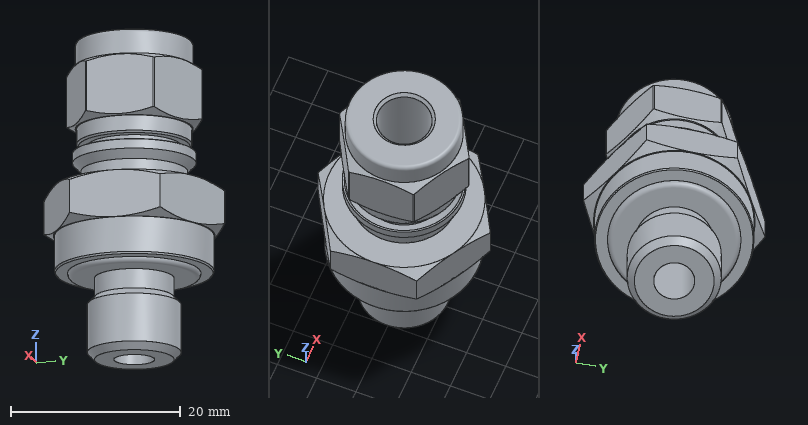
import cadquery as cq
import math

LENGTH = 38.55

BORE_DIA = 4.8
SOCKET_DIA = 6.55
SOCKET_DEPTH = 15.4
SOCKET_CHAMFER = 0.4

THREAD_DIA = 11.1
RELIEF_DIA = 9.4
THREAD_CHAMFER = (THREAD_DIA - RELIEF_DIA) / 2
THREAD_TOP = 7.5

SEAL_BOTTOM_DIA = 14.45
SEAL_DIA = 15.72
SEAL_BOTTOM = 9.85
BODY_DIA = 18.8
BODY_BOTTOM = 10.52
BODY_CHAMFER_HEIGHT = 0.25
BODY_CHAMFER = 0.1

BODY_HEX_FLATS = 19.05
BODY_HEX_BOTTOM = 15.03
BODY_HEX_TOP = 20.75
HEX_CHAMFER_ANGLE = 30.0
HEX_HALF_ANGLE = 30.0

STEM_DIA = 12.6
STEM_CHAMFER = 0.27
RING_DIA = 14.6
RING_TOP = 25.0
RING_CONE_TOP = 23.85
RING_CONE_BOTTOM = RING_CONE_TOP - (RING_DIA - STEM_DIA) / 2
RING_LIP = 0.25
NECK_DIA = 11.1
NECK_BOTTOM = 24.35
GROOVE_DIA = 10.1

NUT_SKIRT_DIA = 13.6
NUT_SKIRT_BOTTOM = 25.95
NUT_SKIRT_CHAMFER = 0.25
NUT_HEX_FLATS = 14.35
NUT_CORNER_DIA = 16.45
NUT_HEX_BOTTOM = 28.0
NUT_HEX_TOP = 35.55
NUT_COLLAR_DIA = 13.9
NUT_COLLAR_ROUND = 0.5


def cylinder(diameter, bottom, top):
    """Cylinder about the Z axis between two heights."""
    return cq.Workplane("XY").workplane(offset=bottom).circle(diameter / 2).extrude(top - bottom)


def chamfered_hex(flats, face_dia, corner_dia, bottom, top):
    """Hexagon with corners on the Y axis and conical chamfers at both ends."""
    face_radius = face_dia / 2
    corner_radius = corner_dia / 2
    drop = (corner_radius - face_radius) * math.tan(math.radians(HEX_CHAMFER_ANGLE))
    envelope = (
        cq.Workplane("XZ")
        .polyline([
            (0, bottom),
            (face_radius, bottom),
            (corner_radius, bottom + drop),
            (corner_radius, top - drop),
            (face_radius, top),
            (0, top),
        ])
        .close()
        .revolve(360, (0, 0), (0, 1))
    )
    prism = (
        cq.Workplane("XY")
        .workplane(offset=bottom)
        .polygon(6, flats / math.cos(math.radians(HEX_HALF_ANGLE)))
        .extrude(top - bottom)
        .rotate((0, 0, 0), (0, 0, 1), HEX_HALF_ANGLE)
    )
    return prism.intersect(envelope)


def threaded_end():
    thread = cylinder(THREAD_DIA, 0, THREAD_TOP).edges().chamfer(THREAD_CHAMFER)
    return thread.union(cylinder(RELIEF_DIA, 0, SEAL_BOTTOM))


def body():
    collar = (
        cylinder(BODY_DIA, BODY_BOTTOM, BODY_HEX_BOTTOM)
        .faces("<Z").edges().chamfer(BODY_CHAMFER_HEIGHT, BODY_CHAMFER)
    )
    seal_face = (
        cylinder(SEAL_DIA, SEAL_BOTTOM, BODY_BOTTOM)
        .faces("<Z").edges().fillet((SEAL_DIA - SEAL_BOTTOM_DIA) / 2)
    )
    corner_dia = BODY_HEX_FLATS / math.cos(math.radians(HEX_HALF_ANGLE))
    hexagon = chamfered_hex(
        BODY_HEX_FLATS, BODY_HEX_FLATS, corner_dia, BODY_HEX_BOTTOM, BODY_HEX_TOP
    )
    return collar.union(seal_face).union(hexagon)


def stem():
    """Stem with a cupped ring whose inside cone runs down to a narrow groove."""
    stem_radius = STEM_DIA / 2
    ring_radius = RING_DIA / 2
    neck_radius = NECK_DIA / 2
    groove_radius = GROOVE_DIA / 2
    lip_radius = ring_radius - RING_LIP
    groove_bottom = RING_TOP - (lip_radius - groove_radius)
    return (
        cq.Workplane("XZ")
        .polyline([
            (0, BODY_HEX_TOP),
            (stem_radius - STEM_CHAMFER, BODY_HEX_TOP),
            (stem_radius, BODY_HEX_TOP + STEM_CHAMFER),
            (stem_radius, RING_CONE_BOTTOM),
            (ring_radius, RING_CONE_TOP),
            (ring_radius, RING_TOP),
            (lip_radius, RING_TOP),
            (groove_radius, groove_bottom),
            (groove_radius, NECK_BOTTOM),
            (neck_radius, NECK_BOTTOM),
            (neck_radius, NUT_SKIRT_BOTTOM),
            (0, NUT_SKIRT_BOTTOM),
        ])
        .close()
        .revolve(360, (0, 0), (0, 1))
    )


def nut():
    skirt = (
        cylinder(NUT_SKIRT_DIA, NUT_SKIRT_BOTTOM, NUT_HEX_BOTTOM)
        .faces("<Z").edges().chamfer(NUT_SKIRT_CHAMFER)
    )
    hexagon = chamfered_hex(
        NUT_HEX_FLATS, NUT_COLLAR_DIA, NUT_CORNER_DIA, NUT_HEX_BOTTOM, NUT_HEX_TOP
    )
    collar = (
        cylinder(NUT_COLLAR_DIA, NUT_HEX_TOP, LENGTH)
        .faces(">Z").edges().fillet(NUT_COLLAR_ROUND)
    )
    return skirt.union(hexagon).union(collar)


def passage():
    """Through bore, tube socket and the socket's flared mouth."""
    bore = cylinder(BORE_DIA, 0, LENGTH)
    socket = cylinder(SOCKET_DIA, LENGTH - SOCKET_DEPTH, LENGTH)
    mouth = (
        cq.Workplane("XY")
        .workplane(offset=LENGTH)
        .circle(SOCKET_DIA / 2 + SOCKET_CHAMFER)
        .workplane(offset=-SOCKET_CHAMFER)
        .circle(SOCKET_DIA / 2)
        .loft()
    )
    return bore.union(socket).union(mouth)


result = threaded_end().union(body()).union(stem()).union(nut()).cut(passage())